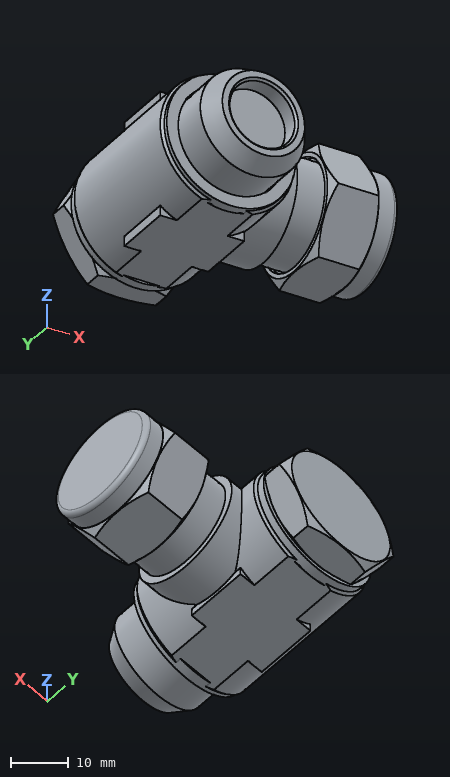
import cadquery as cq
import math

BODY_RADIUS = 13.5
BODY_HALF_LENGTH = 14.95
BODY_CHAMFER = 0.5
FLAT_HEIGHT = 12.5

PAD_HALF_WIDTH = 8.45
PAD_HALF_LENGTH = 6.05

COLLAR_RADIUS = 13.0
COLLAR_LENGTH = 1.95
FRONT_COLLAR_END = -15.8
COLLAR_HOLE_RADIUS = 10.7

SPIGOT_RADIUS = 10.55
NOSE_RADIUS = 8.3
NOSE_LENGTH = 3.75
BORE_RADIUS = 6.55
BORE_DEPTH = 3.75
BORE_CHAMFER = 0.45

TOTAL_LENGTH_Y = 49.0
CAP_FLATS = 23.95
CAP_START = 16.4
CAP_END = 22.25
SPIGOT_END = CAP_END - TOTAL_LENGTH_Y

TOTAL_LENGTH_X = 50.35
ROOT_RADIUS = 11.55
ROOT_END = 15.9
NECK_RADIUS = 9.95
NUT_FLATS = 22.95
NUT_START = 22.05
NUT_END = 32.4
NUT_MOUTH_RADIUS = 10.55
NUT_MOUTH_DEPTH = 1.0
RING_RADIUS = 11.45
RING_FILLET = 1.0

HEX_CHAMFER_ANGLE = 30.0
HEX_CHAMFER_INSET = 0.1


def corner_radius(across_flats):
    return across_flats / math.sqrt(3)


BRANCH_END = TOTAL_LENGTH_X - corner_radius(CAP_FLATS)


def cylinder_y(radius, start, end):
    return cq.Workplane("XZ", origin=(0, start, 0)).circle(radius).extrude(start - end)


def cylinder_x(radius, start, end):
    return cq.Workplane("YZ", origin=(start, 0, 0)).circle(radius).extrude(end - start)


def chamfered_hexagon(across_flats, start, end):
    """Hexagon along Z, corners on the X axis, both ends turned to a shallow cone."""
    corner = corner_radius(across_flats)
    face_radius = across_flats / 2 - HEX_CHAMFER_INSET
    drop = (corner - face_radius) * math.tan(math.radians(HEX_CHAMFER_ANGLE))
    prism = cq.Workplane("XY", origin=(0, 0, start)).polygon(6, 2 * corner).extrude(end - start)
    turned_blank = (
        cq.Workplane("XZ")
        .moveTo(0, start)
        .lineTo(face_radius, start)
        .lineTo(corner, start + drop)
        .lineTo(corner, end - drop)
        .lineTo(face_radius, end)
        .lineTo(0, end)
        .close()
        .revolve(360, (0, 0, 0), (0, 1, 0))
    )
    return prism.intersect(turned_blank)


def make_body():
    barrel = cylinder_y(BODY_RADIUS, -BODY_HALF_LENGTH, BODY_HALF_LENGTH)
    barrel = barrel.faces("<Y or >Y").chamfer(BODY_CHAMFER)
    flats = cq.Workplane("XY").box(2 * BODY_RADIUS, 2 * BODY_HALF_LENGTH, 2 * FLAT_HEIGHT)
    pad = cq.Workplane("XY").box(2 * PAD_HALF_WIDTH, 2 * PAD_HALF_LENGTH, 2 * FLAT_HEIGHT)
    front_collar = cylinder_y(COLLAR_RADIUS, FRONT_COLLAR_END, FRONT_COLLAR_END + COLLAR_LENGTH)
    rear_collar = cylinder_y(COLLAR_RADIUS, CAP_START - COLLAR_LENGTH, CAP_START)
    body = barrel.intersect(flats).union(pad).union(front_collar).union(rear_collar)
    spigot_hole = cylinder_y(COLLAR_HOLE_RADIUS, FRONT_COLLAR_END, FRONT_COLLAR_END + COLLAR_LENGTH)
    return body.cut(spigot_hole)


def make_spigot():
    """Spigot turned about the Y axis, starting at the body centre."""
    return (
        cq.Workplane("XY")
        .lineTo(SPIGOT_RADIUS, 0)
        .lineTo(SPIGOT_RADIUS, SPIGOT_END + NOSE_LENGTH)
        .lineTo(NOSE_RADIUS, SPIGOT_END)
        .lineTo(BORE_RADIUS + BORE_CHAMFER, SPIGOT_END)
        .lineTo(BORE_RADIUS, SPIGOT_END + BORE_CHAMFER)
        .lineTo(BORE_RADIUS, SPIGOT_END + BORE_DEPTH)
        .lineTo(0, SPIGOT_END + BORE_DEPTH)
        .close()
        .revolve(360, (0, 0, 0), (0, 1, 0))
    )


def make_cap():
    return chamfered_hexagon(CAP_FLATS, CAP_START, CAP_END).rotate((0, 0, 0), (1, 0, 0), -90)


def make_branch():
    root = cylinder_x(ROOT_RADIUS, 0, ROOT_END)
    neck = cylinder_x(NECK_RADIUS, 0, NUT_START + NUT_MOUTH_DEPTH)
    nut = chamfered_hexagon(NUT_FLATS, NUT_START, NUT_END)
    nut = nut.rotate((0, 0, 0), (0, 1, 0), 90).rotate((0, 0, 0), (1, 0, 0), 90)
    nut = nut.cut(cylinder_x(NUT_MOUTH_RADIUS, NUT_START, NUT_START + NUT_MOUTH_DEPTH))
    ring = cylinder_x(RING_RADIUS, NUT_END, BRANCH_END)
    ring = ring.faces(">X").edges().fillet(RING_FILLET)
    return root.union(neck).union(nut).union(ring)


result = make_body().union(make_spigot()).union(make_cap()).union(make_branch())